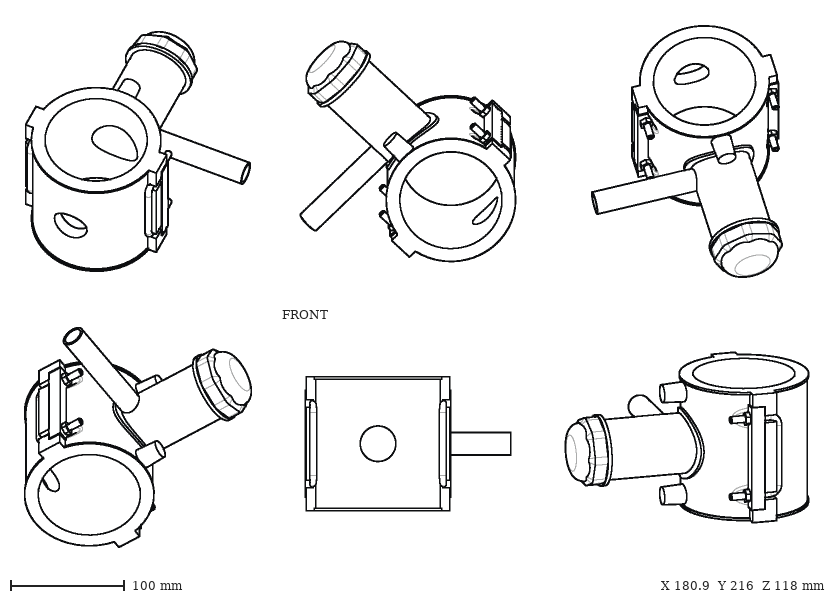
import cadquery as cq
import math

length = 118.0
bore_radius = 45.0
body_radius = 56.0
rim_radius = 57.0
rim_thickness = 2.2

ear_reach = 63.3
ear_thickness = 11.0
plate_reach = 64.1
plate_thickness = 12.3
plate_length = 94.4
ear_root = (bore_radius + body_radius) / 2

bolt_diameter = 6.0
bolt_x = 57.0
bolt_z = 35.5
bolt_top = 30.0
bolt_chamfer = 0.97
bolt_bend_radius = 7.8
bolt_bottom = -14.3
notch_width = 6.5
nut_sides = 6
nut_across_flats = 10.0
nut_height = 4.0
nut_recess_diameter = 13.8
nut_recess_floor = ear_thickness / 2
nut_recess_fillet = 5.0

tower_diameter = 53.5
saddle_diameter = 63.0
saddle_outer_radius = 58.0
flow_diameter = 31.3
tower_bore = 44.0

cap_base = 130.6
cap_flange_diameter = saddle_diameter
cap_flange_thickness = 3.5
cap_grip_height = 11.7
cap_top = 159.0
cap_sides = 8
cap_corner_radius = 30.9
cap_corner_fillet = 9.0
cap_bevel_height = 5.6
cap_bevel_angle = 47
dome_diameter = 51.8
dome_fillet = 10.0

pipe_diameter = 20.0
pipe_bore = 16.0
pipe_y = 60.9
pipe_end = 116.8

peg_z = 47.0
peg_top = 75.1
peg_top_diameter = 16.0
peg_foot_diameter = 18.4
peg_foot = 51.8


def plane_y(y, x=0, z=0):
    """Plane facing +Y with its origin at the given point."""
    return cq.Plane(origin=(x, y, z), xDir=(1, 0, 0), normal=(0, 1, 0))


def cylinder_y(diameter, y_start, y_end, x=0, z=0):
    return cq.Workplane(plane_y(y_start, x, z)).circle(diameter / 2).extrude(y_end - y_start)


def cylinder_z(radius, z_start, z_end):
    return cq.Workplane("XY", origin=(0, 0, z_start)).circle(radius).extrude(z_end - z_start)


def block(x_range, y_range, z_range):
    sizes = [end - start for start, end in (x_range, y_range, z_range)]
    corner = (x_range[0], y_range[0], z_range[0])
    return cq.Workplane("XY").box(*sizes, centered=False).translate(corner)


def make_ring():
    """Ring wall with rounded recesses that give room for the nuts."""
    ring = cylinder_z(body_radius, -length / 2, length / 2)
    for x in (-bolt_x, bolt_x):
        for z in (-bolt_z, bolt_z):
            recess = cylinder_y(nut_recess_diameter, nut_recess_floor, body_radius, x, z)
            ring = ring.cut(recess)
    ring = ring.edges("(not %LINE) and (not %CIRCLE)").fillet(nut_recess_fillet)
    for z in (-length / 2, length / 2 - rim_thickness):
        ring = ring.union(cylinder_z(rim_radius, z, z + rim_thickness))
    return ring


def make_right_ears():
    """Ears of the +X side: both clamp halves, the plate and the bolt notches."""
    half_length = length / 2
    half_plate = plate_length / 2
    ears = block((ear_root, ear_reach), (-ear_thickness, ear_thickness), (-half_length, half_length))
    plate = block((ear_root, plate_reach), (0, plate_thickness), (-half_plate, half_plate))
    ears = ears.union(plate)
    for z in (-bolt_z, bolt_z):
        notch_z = (z - notch_width / 2, z + notch_width / 2)
        ears = ears.cut(block((bolt_x, plate_reach), (-ear_thickness, 0), notch_z))
    return ears


def make_right_bolt():
    """U-bolt of the +X side with its two nuts."""
    straight_y = bolt_bottom + bolt_bend_radius
    straight_z = bolt_z - bolt_bend_radius
    bend_offset = bolt_bend_radius * (1 - math.sqrt(0.5))
    path = (
        cq.Workplane("YZ", origin=(bolt_x, 0, 0))
        .moveTo(bolt_top, bolt_z)
        .lineTo(straight_y, bolt_z)
        .threePointArc((bolt_bottom + bend_offset, bolt_z - bend_offset), (bolt_bottom, straight_z))
        .lineTo(bolt_bottom, -straight_z)
        .threePointArc((bolt_bottom + bend_offset, bend_offset - bolt_z), (straight_y, -bolt_z))
        .lineTo(bolt_top, -bolt_z)
    )
    profile = cq.Workplane("XZ", origin=(bolt_x, bolt_top, bolt_z)).circle(bolt_diameter / 2)
    bolt = profile.sweep(path).faces(">Y").chamfer(bolt_chamfer)
    nut_diameter = nut_across_flats / math.cos(math.pi / nut_sides)
    for z in (-bolt_z, bolt_z):
        nut_plane = plane_y(plate_thickness, bolt_x, z).rotated((0, 0, 90))
        nut = cq.Workplane(nut_plane).polygon(nut_sides, nut_diameter).extrude(nut_height)
        bolt = bolt.union(nut)
    return bolt


def make_saddle():
    reach = cylinder_y(saddle_diameter, 0, saddle_outer_radius)
    return reach.intersect(cylinder_z(saddle_outer_radius, -length / 2, length / 2))


def rounded_octagon(y):
    """Cap grip outline at height y; the rounded corners reach out to cap_corner_radius."""
    half_angle = math.pi / cap_sides
    vertex_radius = cap_corner_radius + cap_corner_fillet * (1 / math.cos(half_angle) - 1)
    sketch = cq.Sketch().regularPolygon(vertex_radius, cap_sides).vertices().fillet(cap_corner_fillet)
    return cq.Workplane(plane_y(y)).placeSketch(sketch)


def make_cap():
    flange_top = cap_base + cap_flange_thickness
    bevel_base = flange_top + cap_grip_height

    cap = cylinder_y(cap_flange_diameter, cap_base, flange_top)
    cap = cap.union(rounded_octagon(flange_top).extrude(cap_grip_height))
    cap = cap.union(rounded_octagon(bevel_base).extrude(cap_bevel_height, taper=cap_bevel_angle))
    dome = cylinder_y(dome_diameter, flange_top, cap_top).faces(">Y").edges().fillet(dome_fillet)
    return cap.union(dome)


def pipe_cylinder(diameter):
    return cq.Workplane("YZ").center(pipe_y, 0).circle(diameter / 2).extrude(pipe_end)


def make_peg(z):
    return (
        cq.Workplane(plane_y(peg_foot, z=z))
        .circle(peg_foot_diameter / 2)
        .workplane(offset=peg_top - peg_foot)
        .circle(peg_top_diameter / 2)
        .loft()
    )


right_side = make_right_ears().union(make_right_bolt())

result = make_ring().union(right_side).union(right_side.mirror("YZ"))
result = result.union(make_saddle())
result = result.union(cylinder_y(tower_diameter, 0, cap_base))
result = result.union(make_cap()).union(pipe_cylinder(pipe_diameter))
for z in (-peg_z, peg_z):
    result = result.union(make_peg(z))

result = result.cut(cylinder_z(bore_radius, -length / 2, length / 2))
result = result.cut(cylinder_y(flow_diameter, -rim_radius, 0))
result = result.cut(cylinder_y(tower_bore, 0, cap_base))
result = result.cut(pipe_cylinder(pipe_bore))